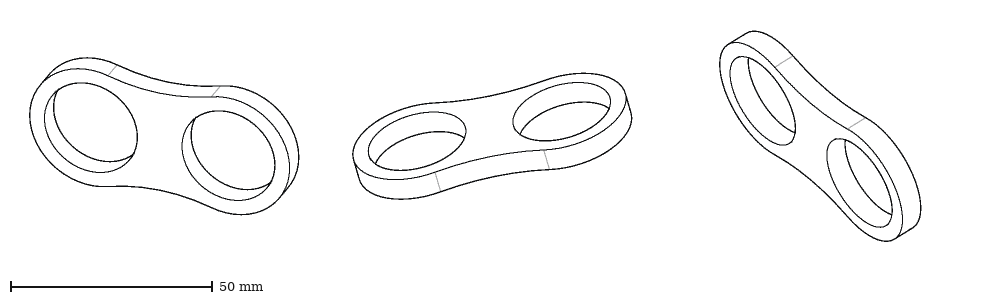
import cadquery as cq
import math

length = 70.0
height = 33.0
thickness = 6.0
hole_diameter = 25.0
waist_radius = 50.0

end_radius = height / 2
end_offset = length / 2 - end_radius

center_distance = end_radius + waist_radius
waist_center_z = math.sqrt(center_distance**2 - end_offset**2)
waist_half_height = waist_center_z - waist_radius
tangent_x = end_offset * waist_radius / center_distance
tangent_z = waist_center_z * end_radius / center_distance


def link_plate():
    """Figure-eight plate, centred on the origin, with its thickness along Y."""
    return (
        cq.Workplane("XZ", origin=(0, thickness / 2, 0))
        .moveTo(-tangent_x, tangent_z)
        .threePointArc((0, waist_half_height), (tangent_x, tangent_z))
        .threePointArc((length / 2, 0), (tangent_x, -tangent_z))
        .threePointArc((0, -waist_half_height), (-tangent_x, -tangent_z))
        .threePointArc((-length / 2, 0), (-tangent_x, tangent_z))
        .close()
        .extrude(thickness)
    )


def ring_holes():
    """Cutters through the full thickness, concentric with the round ends."""
    return (
        cq.Workplane("XZ", origin=(0, thickness / 2, 0))
        .pushPoints([(-end_offset, 0), (end_offset, 0)])
        .circle(hole_diameter / 2)
        .extrude(thickness)
    )


result = link_plate().cut(ring_holes())